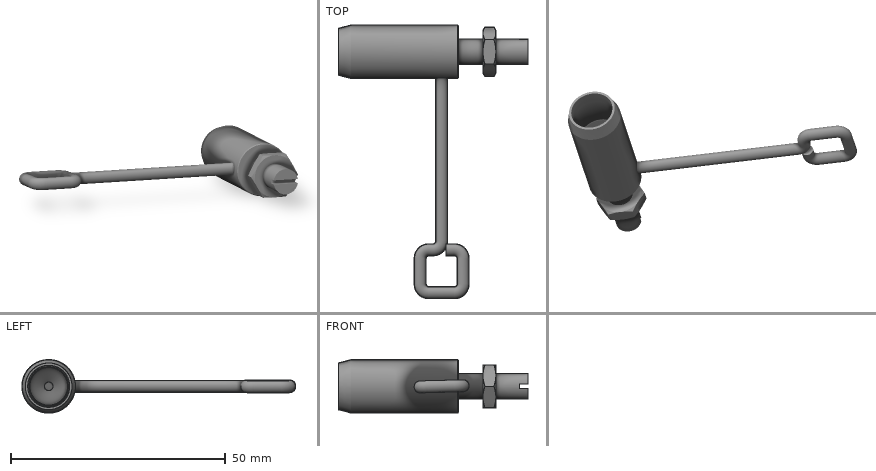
import cadquery as cq
import math


housing_diameter = 12.5
housing_length = 28.0
nose_length = 3.0
nose_angle = 15.0
rear_chamfer = 0.2
bore_diameter = 9.8
bore_depth = 18.0

overall_length = 44.29
stud_diameter = 6.0
head_length = 8.0
head_chamfer = 0.3
cup_mouth_diameter = 8.8
cup_floor_diameter = 2.0
cup_angle = 60.0
slot_width = 1.0
slot_depth = 2.0

nut_across_flats = 10.0
nut_thickness = 3.0
nut_gap = 5.75
nut_chamfer_angle = 30.0

wire_diameter = 2.8
handle_x = 24.1
handle_reach = 57.6
handle_embed = 3.0
handle_tilt = 1.5
loop_size = 10.0
bend_radius = 2.0
loop_gap_end = 1.0

housing_radius = housing_diameter / 2
bore_radius = bore_diameter / 2
stud_radius = stud_diameter / 2
wire_radius = wire_diameter / 2


def turned(profile):
    """Revolve a closed (x, radius) profile about the X axis."""
    return cq.Workplane("XY").polyline(profile).close().revolve(360, (0, 0, 0), (1, 0, 0))


def x_cylinder(diameter, start, length):
    return cq.Workplane("YZ", origin=(start, 0, 0)).circle(diameter / 2).extrude(length)


def make_housing():
    """Sleeve with a tapered nose, a blind bore, a stud hole and a socket for the handle."""
    nose_radius = housing_radius - nose_length * math.tan(math.radians(nose_angle))
    body = turned([
        (0, 0),
        (0, nose_radius),
        (nose_length, housing_radius),
        (housing_length - rear_chamfer, housing_radius),
        (housing_length, housing_radius - rear_chamfer),
        (housing_length, 0),
    ])
    bore = x_cylinder(bore_diameter, 0, bore_depth)
    stud_hole = x_cylinder(stud_diameter, 0, housing_length)
    handle_socket = (
        cq.Workplane("XZ", origin=(handle_x, handle_embed - housing_radius, 0))
        .circle(wire_radius)
        .extrude(housing_radius)
    )
    return body.cut(bore).cut(stud_hole).cut(handle_socket)


def make_stud():
    """Stud whose head fills the bottom of the bore and faces the nose with a conical cup."""
    head_front = bore_depth - head_length
    cup_mouth_radius = cup_mouth_diameter / 2
    cup_floor_radius = cup_floor_diameter / 2
    cup_depth = (cup_mouth_radius - cup_floor_radius) / math.tan(math.radians(cup_angle))
    body = turned([
        (head_front + cup_depth, 0),
        (head_front + cup_depth, cup_floor_radius),
        (head_front, cup_mouth_radius),
        (head_front, bore_radius - head_chamfer),
        (head_front + head_chamfer, bore_radius),
        (bore_depth, bore_radius),
        (bore_depth, stud_radius),
        (overall_length, stud_radius),
        (overall_length, 0),
    ])
    slot = cq.Workplane("XY", origin=(overall_length, 0, 0)).box(
        2 * slot_depth, stud_diameter, slot_width
    )
    return body.cut(slot)


def make_nut():
    """Hexagon nut with flats facing up and down and chamfered corners on both faces."""
    nut_start = housing_length + nut_gap
    nut_end = nut_start + nut_thickness
    across_corners = nut_across_flats / math.cos(math.radians(30))
    hexagon = (
        cq.Workplane("YZ", origin=(nut_start, 0, 0))
        .polygon(6, across_corners)
        .extrude(nut_thickness)
    )
    face_radius = nut_across_flats / 2
    corner_radius = across_corners / 2
    chamfer_depth = (corner_radius - face_radius) * math.tan(math.radians(nut_chamfer_angle))
    chamfer_envelope = turned([
        (nut_start, 0),
        (nut_start, face_radius),
        (nut_start + chamfer_depth, corner_radius),
        (nut_end - chamfer_depth, corner_radius),
        (nut_end, face_radius),
        (nut_end, 0),
    ])
    stud_hole = x_cylinder(stud_diameter, nut_start, nut_thickness)
    return hexagon.intersect(chamfer_envelope).cut(stud_hole)


def make_handle():
    """Round wire running out along -Y and bent into an open square loop, slightly twisted."""
    start_y = handle_embed - housing_radius
    loop_near = -(handle_reach - wire_radius - loop_size)
    loop_far = loop_near - loop_size
    left = handle_x - loop_size / 2
    right = handle_x + loop_size / 2
    diagonal = bend_radius * (1 - math.sqrt(0.5))

    def corner(path, x, y, x_inward, y_inward, end):
        """Add a round bend at the corner (x, y) of the loop."""
        middle = (x + x_inward * diagonal, y + y_inward * diagonal)
        return path.threePointArc(middle, end)

    path = cq.Workplane("XY").moveTo(handle_x, start_y).lineTo(handle_x, loop_near + bend_radius)
    path = corner(path, handle_x, loop_near, -1, 1, (handle_x - bend_radius, loop_near))
    path = path.lineTo(left + bend_radius, loop_near)
    path = corner(path, left, loop_near, 1, -1, (left, loop_near - bend_radius))
    path = path.lineTo(left, loop_far + bend_radius)
    path = corner(path, left, loop_far, 1, 1, (left + bend_radius, loop_far))
    path = path.lineTo(right - bend_radius, loop_far)
    path = corner(path, right, loop_far, -1, 1, (right, loop_far + bend_radius))
    path = path.lineTo(right, loop_near - bend_radius)
    path = corner(path, right, loop_near, -1, -1, (right - bend_radius, loop_near))
    path = path.lineTo(handle_x + loop_gap_end, loop_near)

    wire = cq.Workplane("XZ", origin=(handle_x, start_y, 0)).circle(wire_radius).sweep(path)
    return wire.rotate((handle_x, 0, 0), (handle_x, -1, 0), handle_tilt)


housing = make_housing()
stud = make_stud()
nut = make_nut()
handle = make_handle()

result = cq.Compound.makeCompound([housing.val(), stud.val(), nut.val(), handle.val()])